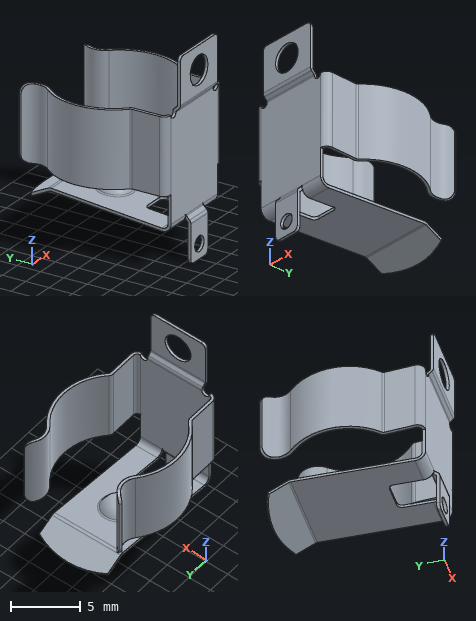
import cadquery as cq
import math

sheet = 0.25
jog_bend_radius = 0.25
jog_angle = 45

plate_width = 6.35
plate_bottom = -2.34
arm_height = 6.35
notch_radius = 0.32

tab_width = plate_width - 4 * notch_radius
tab_top = arm_height + 4.49
tab_offset = 0.4
tab_hole_diameter = 2.37
tab_hole_drop = 2.0
tab_corner_radius = 0.4

tail_width = 2.32
tail_bottom = -6.23
tail_offset = 0.43
tail_hole_diameter = 1.23
tail_hole_rise = 1.23
tail_corner_radius = 0.4

floor_slope = 5.1
floor_bend_radius = 0.61
floor_length = 9.5
slot_width = 2.35
slot_end = 3.5
slot_corner_radius = 0.4
lip_slope = -26
lip_bend_radius = 0.4
lip_length = 2.4
lip_crown = 0.73

dome_y = 6.83
dome_radius = 1.5
dome_height = 0.97
dome_base_fillet = 0.14

arm_outer_x = 3.79
arm_neck_radius = 0.35
cup_center_x = 0.38
cup_center_y = 6.69
cup_outer_radius = 5.0
flare_inner_x = 3.55
flare_radius = 1.45
flare_end_angle = 118.5
arm_corner_radius = 0.79

half_sheet = sheet / 2
plate_half = plate_width / 2


def shifted(point, angle, distance):
    """Point moved by a distance in the direction of an angle in degrees."""
    turn = math.radians(angle)
    return (point[0] + distance * math.cos(turn), point[1] + distance * math.sin(turn))


def run(length):
    return ("run", length)


def bend(angle, radius):
    """Bend by an angle in degrees, positive to the left of the heading."""
    return ("bend", angle, radius)


def bent_outline(plane, start, heading, steps):
    """Closed section of a sheet following runs and bends along its middle line.

    Returns the section with the point and heading at its end.
    """
    def sides(point, angle):
        return shifted(point, angle + 90, half_sheet), shifted(point, angle - 90, half_sheet)

    point, angle = start, heading
    stations = [sides(point, angle)]
    middles = []
    for step in steps:
        if step[0] == "run":
            point = shifted(point, angle, step[1])
            middles.append(None)
        else:
            side = math.copysign(90, step[1])
            center = shifted(point, angle + side, step[2])
            half_way = angle + step[1] / 2
            middles.append(sides(shifted(center, half_way - side, step[2]), half_way))
            angle += step[1]
            point = shifted(center, angle - side, step[2])
        stations.append(sides(point, angle))

    def add_side(outline, middle, end, side):
        if middle is None:
            return outline.lineTo(*end[side])
        return outline.threePointArc(middle[side], end[side])

    outline = cq.Workplane(plane).moveTo(*stations[0][0])
    for middle, end in zip(middles, stations[1:]):
        outline = add_side(outline, middle, end, 0)
    outline = outline.lineTo(*stations[-1][1])
    for middle, end in zip(reversed(middles), reversed(stations[:-1])):
        outline = add_side(outline, middle, end, 1)
    return outline.close(), point, angle


def strip(width, start, heading, steps):
    """Sheet bent in the YZ plane and centred on x = 0, with its end point and heading."""
    outline, point, angle = bent_outline("YZ", start, heading, steps)
    return outline.extrude(width / 2, both=True), point, angle


def sheet_plane(point, slope):
    """Plane through a (y, z) point: local x along +X, local y up the slope."""
    turn = math.radians(slope)
    return cq.Plane(
        origin=(0, point[0], point[1]),
        xDir=(1, 0, 0),
        normal=(0, -math.sin(turn), math.cos(turn)),
    )


def make_plate():
    plate = (
        cq.Workplane("XY")
        .box(plate_width, sheet, arm_height - plate_bottom, centered=(True, False, False))
        .translate((0, 0, plate_bottom))
    )
    notches = (
        cq.Workplane("XZ")
        .pushPoints([(side * (plate_half - notch_radius), arm_height) for side in (-1, 1)])
        .circle(notch_radius)
        .extrude(-sheet)
    )
    return plate.cut(notches)


def make_jogged_tab(width, root_z, end_z, offset, hole_diameter, hole_inset, corner_radius):
    """Tab leaving the plate edge up or down, set forward by an offset, with a hole."""
    direction = math.copysign(1, end_z - root_z)
    turn = math.radians(jog_angle)
    slant = (offset - 2 * jog_bend_radius * (1 - math.cos(turn))) / math.sin(turn)
    jog_height = 2 * jog_bend_radius * math.sin(turn) + slant * math.cos(turn)
    tab, _, _ = strip(width, (half_sheet, root_z), 90 * direction, [
        bend(direction * jog_angle, jog_bend_radius),
        run(slant),
        bend(-direction * jog_angle, jog_bend_radius),
        run(abs(end_z - root_z) - jog_height),
    ])
    end_face = ">Z" if direction > 0 else "<Z"
    tab = tab.faces(end_face).edges("|Y").fillet(corner_radius)
    hole = (
        cq.Workplane("XZ")
        .center(0, end_z - direction * hole_inset)
        .circle(hole_diameter / 2)
        .extrude(offset + sheet, both=True)
    )
    return tab.cut(hole)


def make_slot():
    return (
        cq.Workplane("XY", origin=(0, 0, plate_bottom))
        .rect(slot_width, 2 * slot_end)
        .extrude(-2 * floor_bend_radius)
        .edges("|Z and >Y")
        .fillet(slot_corner_radius)
    )


def make_dome(plane):
    """Spherical cap blended into the floor by a concave fillet, turned about the plane normal."""
    center_height = dome_height - dome_radius
    reach = dome_radius + dome_base_fillet
    tilt = math.asin((dome_base_fillet - center_height) / reach)
    foot = reach * math.cos(tilt)

    def on_cap(angle):
        return (dome_radius * math.cos(angle), center_height + dome_radius * math.sin(angle))

    fillet_middle = -(tilt + math.pi / 2) / 2
    fillet_point = (
        foot - dome_base_fillet * math.cos(fillet_middle),
        dome_base_fillet + dome_base_fillet * math.sin(fillet_middle),
    )
    profile = (
        cq.Workplane("XZ")
        .moveTo(0, -half_sheet)
        .lineTo(foot, -half_sheet)
        .lineTo(foot, 0)
        .threePointArc(fillet_point, on_cap(tilt))
        .threePointArc(on_cap((tilt + math.pi / 2) / 2), (0, dome_height))
        .close()
    )
    dome = profile.revolve(360, (0, 0, 0), (0, 1, 0)).val()
    return cq.Workplane(dome.moved(cq.Location(plane)))


def make_floor():
    corner, floor_start, slope = strip(plate_width, (half_sheet, plate_bottom), -90, [
        bend(90 + floor_slope, floor_bend_radius),
    ])
    panel, lip_start, lip_angle = strip(plate_width, floor_start, slope, [
        run(floor_length),
        bend(lip_slope - floor_slope, lip_bend_radius),
    ])
    lip = (
        cq.Workplane(sheet_plane(lip_start, lip_angle))
        .moveTo(-plate_half, 0)
        .lineTo(plate_half, 0)
        .lineTo(plate_half, lip_length - lip_crown)
        .threePointArc((0, lip_length), (-plate_half, lip_length - lip_crown))
        .close()
        .extrude(half_sheet, both=True)
    )
    dome_distance = (dome_y - floor_start[0]) / math.cos(math.radians(slope))
    dome_foot = shifted(shifted(floor_start, slope, dome_distance), slope + 90, half_sheet)
    dome = make_dome(sheet_plane(dome_foot, slope))
    return corner.union(panel).union(lip).cut(make_slot()).union(dome)


def make_arm():
    """Right-hand arm: root bend, straight leg, neck, round cup and outward flare."""
    leg_x = arm_outer_x - half_sheet
    cup_radius = cup_outer_radius - half_sheet
    neck_center_x = leg_x + arm_neck_radius
    neck_reach = cup_radius + arm_neck_radius
    cup_start = math.degrees(math.acos((neck_center_x - cup_center_x) / neck_reach))
    neck_y = cup_center_y - neck_reach * math.sin(math.radians(cup_start))
    root_radius = leg_x - plate_half
    leg_start_y = half_sheet + root_radius

    flare_center_x = flare_inner_x + half_sheet + flare_radius
    cup_end = math.degrees(math.acos((flare_center_x - cup_center_x) / (cup_radius + flare_radius)))

    outline, tip, _ = bent_outline("XY", (plate_half, half_sheet), 0, [
        bend(90, root_radius),
        run(neck_y - leg_start_y),
        bend(-cup_start, arm_neck_radius),
        bend(cup_start + cup_end, cup_radius),
        bend(flare_end_angle - 180 - cup_end, flare_radius),
    ])
    arm = outline.extrude(arm_height)
    tip_face = arm.faces(cq.NearestToPointSelector((tip[0], tip[1], arm_height / 2)))
    return tip_face.edges("not |Z").fillet(arm_corner_radius)


tab = make_jogged_tab(
    tab_width, arm_height, tab_top, tab_offset, tab_hole_diameter, tab_hole_drop, tab_corner_radius
)
tail = make_jogged_tab(
    tail_width, plate_bottom, tail_bottom, tail_offset, tail_hole_diameter, tail_hole_rise,
    tail_corner_radius,
)
right_arm = make_arm()

result = make_plate().union(tab).union(make_floor()).union(tail)
result = result.union(right_arm).union(right_arm.mirror("YZ"))